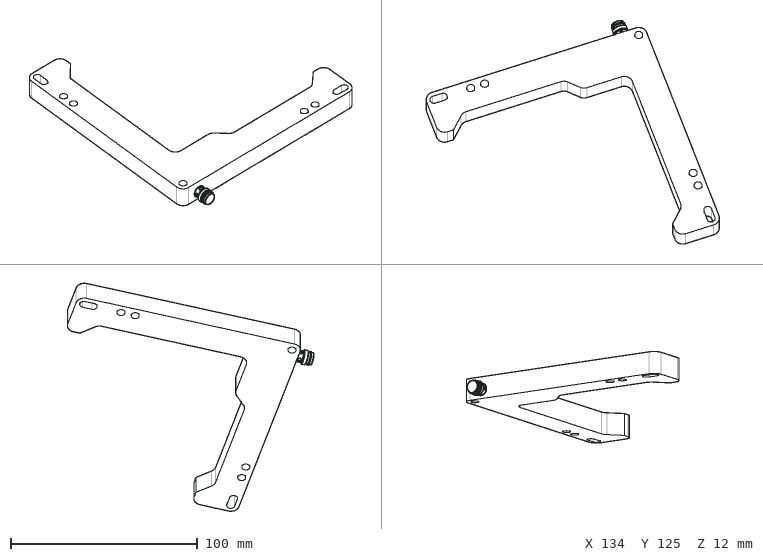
import cadquery as cq

side = 125.0
thickness = 12.0
arm_width = 17.0
wide_width = 25.0
corner_radius = 4.5
tab_length = 8.0
step_height = 43.1

hole_diameter = 4.3
hole_inset = 4.5
hole_distances = (25.0, 33.0)
slot_distance = 6.8
slot_length = 9.5

connector_y = 11.9
connector_drop = 1.0
connector_z = thickness / 2 - connector_drop
overall_length = 134.0
connector_length = overall_length - side
connector_sections = (
    (0.4, 6.8),
    (3.1, 6.5),
    (3.5, 6.8),
    (3.8, 6.5),
    (5.5, 8.0),
    (5.9, 6.8),
    (6.8, 6.5),
    (7.5, 7.6),
    (8.6, 6.7),
    (connector_length, 6.5),
)
dimple_diameter = 2.0
dimple_distance = 1.7
dimple_floor_radius = 2.5
dimple_outer_radius = 4.0


def make_bracket():
    slope = wide_width - arm_width
    wide_x = side - wide_width
    narrow_x = side - arm_width
    slope_end = tab_length + slope
    sharp_corners = [(wide_x, side - tab_length), (tab_length, wide_width)]
    outline = [
        (0, 0),
        (side, 0),
        (side, side),
        (wide_x, side),
        sharp_corners[0],
        (narrow_x, side - slope_end),
        (narrow_x, step_height + slope),
        (wide_x, step_height),
        (wide_x, arm_width),
        (slope_end, arm_width),
        sharp_corners[1],
        (0, wide_width),
    ]
    bracket = cq.Workplane("XY").polyline(outline).close().extrude(thickness)
    rounded_corners = [point for point in outline if point not in sharp_corners]
    for x, y in rounded_corners:
        corner = cq.selectors.NearestToPointSelector((x, y, thickness / 2))
        bracket = bracket.edges("|Z").edges(corner).fillet(corner_radius)
    return bracket


def cut_mounting_holes(bracket):
    far = side - hole_inset
    centers = [(far, hole_inset)]
    for distance in hole_distances:
        centers += [(distance, hole_inset), (far, side - distance)]
    cutters = cq.Workplane("XY").pushPoints(centers).circle(hole_diameter / 2).extrude(thickness)
    for x, y, angle in ((slot_distance, hole_inset, 0), (far, side - slot_distance, 90)):
        slot = cq.Workplane("XY").center(x, y).slot2D(slot_length, hole_diameter, angle)
        cutters = cutters.union(slot.extrude(thickness))
    return bracket.cut(cutters)


def make_connector():
    profile = cq.Workplane("XY").moveTo(0, 0)
    start = 0
    for end, diameter in connector_sections:
        profile = profile.lineTo(start, diameter / 2).lineTo(end, diameter / 2)
        start = end
    connector = profile.lineTo(connector_length, 0).close().revolve(360, (0, 0), (1, 0))

    dimple = (
        cq.Workplane("XY", origin=(dimple_distance, 0, dimple_floor_radius))
        .circle(dimple_diameter / 2)
        .extrude(dimple_outer_radius - dimple_floor_radius)
    )
    for angle in (0, 90, 180, 270):
        connector = connector.cut(dimple.rotate((0, 0, 0), (1, 0, 0), angle))
    return connector.translate((side, connector_y, connector_z))


result = cut_mounting_holes(make_bracket()).union(make_connector())